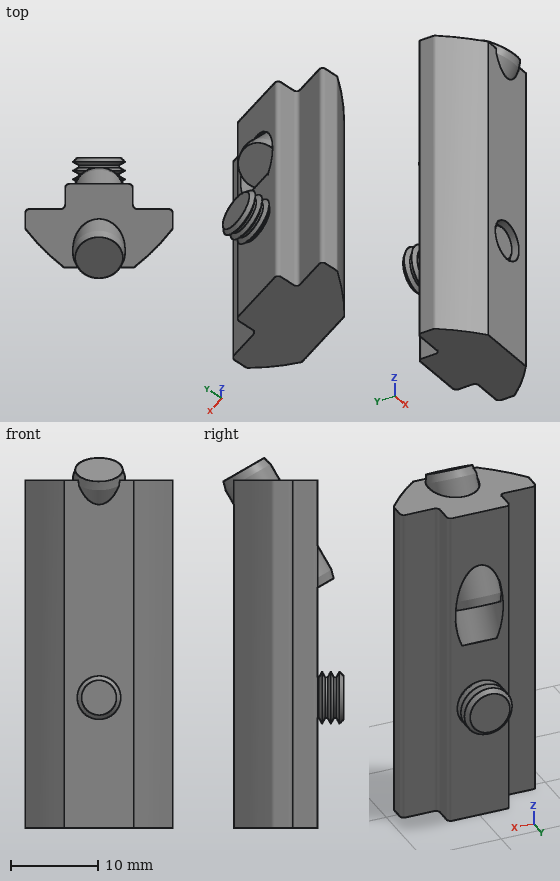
import cadquery as cq
import math

BODY_LENGTH = 40.0
BODY_DEPTH = 9.65
FLANGE_WIDTH = 17.0
FRONT_WIDTH = 8.0
NECK_WIDTH = 7.8
NECK_DEPTH = 2.9
FLANK_DEPTH = (FLANGE_WIDTH - FRONT_WIDTH) / 2
FLANK_BULGE = 0.2
EDGE_RADIUS = 0.5

PIN_DIAMETER = 6.0
PIN_LENGTH = 16.0
PIN_TILT = 30.0
PIN_TAPER_LENGTH = 1.0
PIN_TAPER_ANGLE = 15.0
PIN_TOP_Y = 1.146
PIN_TOP_Z = 41.204
PIN_HOLE_OFFSET = 0.3

SCREW_DIAMETER = 6.0
SCREW_PITCH = 1.0
SCREW_CORE_DIAMETER = 4.7
SCREW_END_DIAMETER = 5.0
SCREW_TIP_DIAMETER = 4.0
SCREW_TIP_LENGTH = 0.5
SCREW_LENGTH = 12.0
SCREW_PROTRUSION = 3.0
SCREW_Z = 15.0
THREAD_COUNT = 3
THREAD_HALF_WIDTH = 0.36
SCREW_HOLE_DIAMETER = 5.0


def make_pin_axis_plane():
    """Plane centred on the pin's upper end face, its normal pointing down the pin."""
    tilt = math.radians(PIN_TILT)
    return cq.Plane(
        origin=(0, PIN_TOP_Y, PIN_TOP_Z),
        xDir=(1, 0, 0),
        normal=(0, math.sin(tilt), -math.cos(tilt)),
    )


def make_profile_bar():
    """Extruded T section with bowed flanks; all long edges but the front two are rounded."""
    half_flange = FLANGE_WIDTH / 2
    half_front = FRONT_WIDTH / 2
    half_neck = NECK_WIDTH / 2
    shoulder_y = BODY_DEPTH - NECK_DEPTH

    bulge_step = FLANK_BULGE / math.sqrt(2)
    flank_mid_x = (half_flange + half_front) / 2 + bulge_step
    flank_mid_y = FLANK_DEPTH / 2 - bulge_step

    return (
        cq.Workplane("XY")
        .moveTo(-half_front, 0)
        .lineTo(half_front, 0)
        .threePointArc((flank_mid_x, flank_mid_y), (half_flange, FLANK_DEPTH))
        .lineTo(half_flange, shoulder_y)
        .lineTo(half_neck, shoulder_y)
        .lineTo(half_neck, BODY_DEPTH)
        .lineTo(-half_neck, BODY_DEPTH)
        .lineTo(-half_neck, shoulder_y)
        .lineTo(-half_flange, shoulder_y)
        .lineTo(-half_flange, FLANK_DEPTH)
        .threePointArc((-flank_mid_x, flank_mid_y), (-half_front, 0))
        .close()
        .extrude(BODY_LENGTH)
        .edges("|Z and (not <Y)")
        .fillet(EDGE_RADIUS)
    )


def make_body(pin):
    """Bar with the inclined pin hole and the screw hole, both passing right through.

    The drilled pin hole is set back a little, which leaves a narrow gap behind the pin;
    in front of that gap the body follows the pin itself.
    """
    pin_hole = (
        cq.Workplane(make_pin_axis_plane())
        .circle(PIN_DIAMETER / 2)
        .extrude(BODY_LENGTH / 2, both=True)
        .translate((0, PIN_HOLE_OFFSET, 0))
    )
    screw_hole = (
        cq.Workplane("XZ", origin=(0, BODY_DEPTH, SCREW_Z))
        .circle(SCREW_HOLE_DIAMETER / 2)
        .extrude(BODY_DEPTH)
    )
    return make_profile_bar().cut(pin_hole).cut(pin).cut(screw_hole).solids()


def make_pin():
    """Round pin with the same short taper at both ends."""
    radius = PIN_DIAMETER / 2
    end_radius = radius - PIN_TAPER_LENGTH * math.tan(math.radians(PIN_TAPER_ANGLE))
    upright_pin = (
        cq.Workplane("XZ")
        .moveTo(0, 0)
        .lineTo(end_radius, 0)
        .lineTo(radius, PIN_TAPER_LENGTH)
        .lineTo(radius, PIN_LENGTH - PIN_TAPER_LENGTH)
        .lineTo(end_radius, PIN_LENGTH)
        .lineTo(0, PIN_LENGTH)
        .close()
        .revolve(360, (0, 0, 0), (0, 1, 0))
    )
    tilted_pin = upright_pin.val().moved(cq.Location(make_pin_axis_plane()))
    return cq.Workplane(obj=tilted_pin)


def make_screw():
    """Set screw with a coned tip in the body and ring threads on the part standing out."""
    back_y = BODY_DEPTH + SCREW_PROTRUSION
    tip_y = back_y - SCREW_LENGTH
    core_radius = SCREW_CORE_DIAMETER / 2
    hole_radius = SCREW_HOLE_DIAMETER / 2
    crest_radius = SCREW_DIAMETER / 2

    outline = (
        cq.Workplane("XY", origin=(0, 0, SCREW_Z))
        .moveTo(0, tip_y)
        .lineTo(SCREW_TIP_DIAMETER / 2, tip_y)
        .lineTo(hole_radius, tip_y + SCREW_TIP_LENGTH)
        .lineTo(hole_radius, BODY_DEPTH)
        .lineTo(core_radius, BODY_DEPTH)
    )
    for thread in reversed(range(THREAD_COUNT)):
        crest_y = back_y - (thread + 0.5) * SCREW_PITCH
        outline = (
            outline
            .lineTo(core_radius, crest_y - THREAD_HALF_WIDTH)
            .lineTo(crest_radius, crest_y)
        )
        if thread > 0:
            outline = outline.lineTo(core_radius, crest_y + THREAD_HALF_WIDTH)
    return (
        outline
        .lineTo(SCREW_END_DIAMETER / 2, back_y)
        .lineTo(0, back_y)
        .close()
        .revolve(360, (0, 0, 0), (0, 1, 0))
    )


pin = make_pin()
body = make_body(pin)
screw = make_screw()

result = cq.Compound.makeCompound([body.val(), pin.val(), screw.val()])